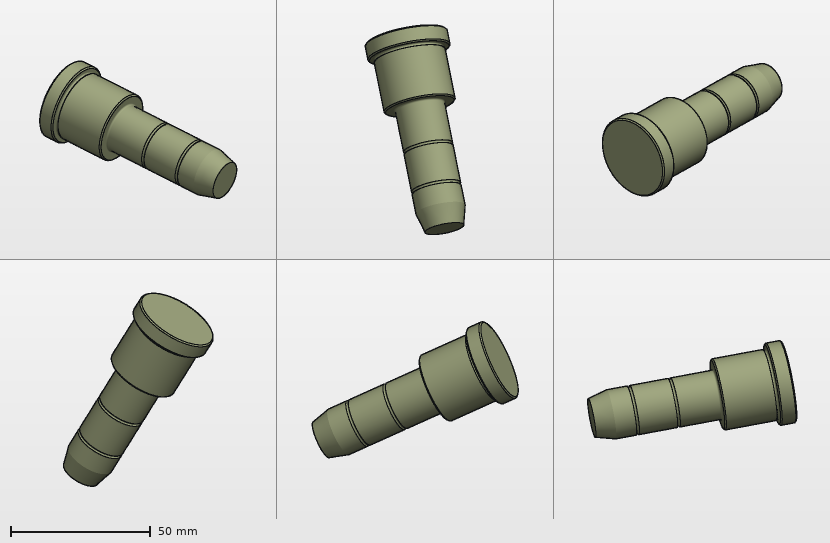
import cadquery as cq
import math

length = 72.0
flange_diameter = 30.0
flange_thickness = 6.0
body_diameter = 26.0
body_end = 26.0
shank_diameter = 18.0

edge_chamfer = 0.5
shank_root_fillet = 0.65

taper_length = 7.1
taper_angle = math.radians(15)
tip_diameter = shank_diameter - 2 * taper_length * math.tan(taper_angle)

groove_radius = 0.5
first_shank_groove = 42.0
shank_groove_spacing = 15.0
shank_groove_count = 2


def cylinder(start, end, diameter):
    """Solid round section between two X positions."""
    return cq.Workplane("YZ", origin=(start, 0, 0)).circle(diameter / 2).extrude(end - start)


def round_groove(center, diameter):
    """Ring of circular section, centred on a cylinder's surface."""
    return cq.Workplane(cq.Solid.makeTorus(
        diameter / 2, groove_radius, cq.Vector(center, 0, 0), cq.Vector(1, 0, 0)
    ))


flange = cylinder(0, flange_thickness, flange_diameter).edges("%CIRCLE").chamfer(edge_chamfer)
body = cylinder(flange_thickness, body_end, body_diameter).faces(">X").edges().chamfer(edge_chamfer)

taper_start = length - taper_length
shank = cylinder(body_end, taper_start, shank_diameter)
tip = (
    cq.Workplane("YZ", origin=(taper_start, 0, 0))
    .circle(shank_diameter / 2)
    .workplane(offset=taper_length)
    .circle(tip_diameter / 2)
    .loft(ruled=True)
)

result = flange.union(body).union(shank).union(tip)

half_band = edge_chamfer / 2
body_end_band = cq.selectors.BoxSelector(
    (body_end - half_band, -shank_diameter, -shank_diameter),
    (body_end + half_band, shank_diameter, shank_diameter),
)
smallest_circle = cq.selectors.RadiusNthSelector(0)
result = result.edges(body_end_band).edges(smallest_circle).fillet(shank_root_fillet)

result = result.cut(round_groove(flange_thickness + groove_radius, body_diameter))

for index in range(shank_groove_count):
    groove_center = first_shank_groove + index * shank_groove_spacing
    result = result.cut(round_groove(groove_center, shank_diameter))